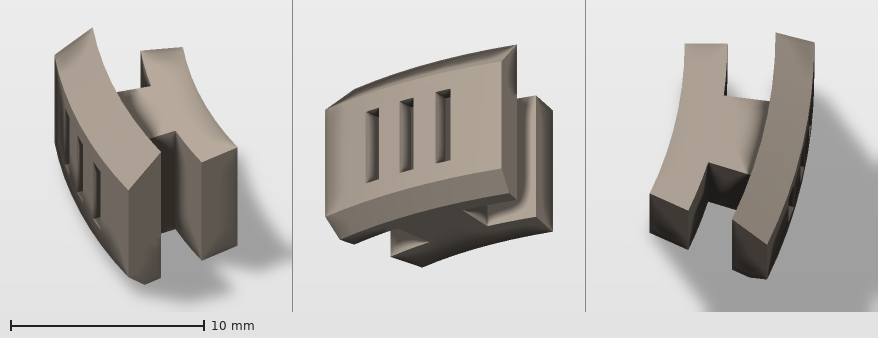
import cadquery as cq
import math

face_radius = 25.78
face_thickness = 2.0
gap = 2.5
rear_thickness = 2.2
full_width = 11.25
face_height = 8.7
rear_height = 6.8
top_bevel_height = 1.7
bottom_bevel = 1.0
stem_half_angle = 5.0

slot_count = 3
slot_pitch_angle = 5.0
slot_half_angle = 1.0
slot_height = 4.0
slot_depth = 1.0
slot_bottom = 2.0

face_inner_radius = face_radius - face_thickness
rear_outer_radius = face_inner_radius - gap
rear_inner_radius = rear_outer_radius - rear_thickness
half_angle = math.degrees(math.asin(full_width / 2 / face_radius))


def sector(profile, half_sweep):
    """Revolve a (radius, z) profile about Z, evenly to both sides of -Y."""
    solid = cq.Workplane("XZ").polyline(profile).close().revolve(
        2 * half_sweep, (0, 0, 0), (0, 1, 0)
    )
    center = solid.val().Center()
    middle_angle = math.degrees(math.atan2(center.y, center.x))
    return solid.rotate((0, 0, 0), (0, 0, 1), -90 - middle_angle)


def block_profile(inner_radius, outer_radius, height):
    return [(inner_radius, 0), (outer_radius, 0), (outer_radius, height), (inner_radius, height)]


front_plate = sector(
    [
        (face_inner_radius, 0),
        (face_radius - bottom_bevel, 0),
        (face_radius, bottom_bevel),
        (face_radius, face_height - top_bevel_height),
        (face_inner_radius, face_height),
    ],
    half_angle,
)

rear_plate = sector(block_profile(rear_inner_radius, rear_outer_radius, rear_height), half_angle)
stem = sector(
    block_profile(
        rear_outer_radius - rear_thickness / 2,
        face_inner_radius + face_thickness / 2,
        rear_height,
    ),
    stem_half_angle,
)
result = front_plate.union(rear_plate).union(stem)

slot_cutter = sector(
    block_profile(face_radius - slot_depth, face_radius + slot_depth, slot_height), slot_half_angle
).translate((0, 0, slot_bottom))
for index in range(slot_count):
    angle = (index - (slot_count - 1) / 2) * slot_pitch_angle
    result = result.cut(slot_cutter.rotate((0, 0, 0), (0, 0, 1), angle))

result = result.translate((0, face_radius, 0))